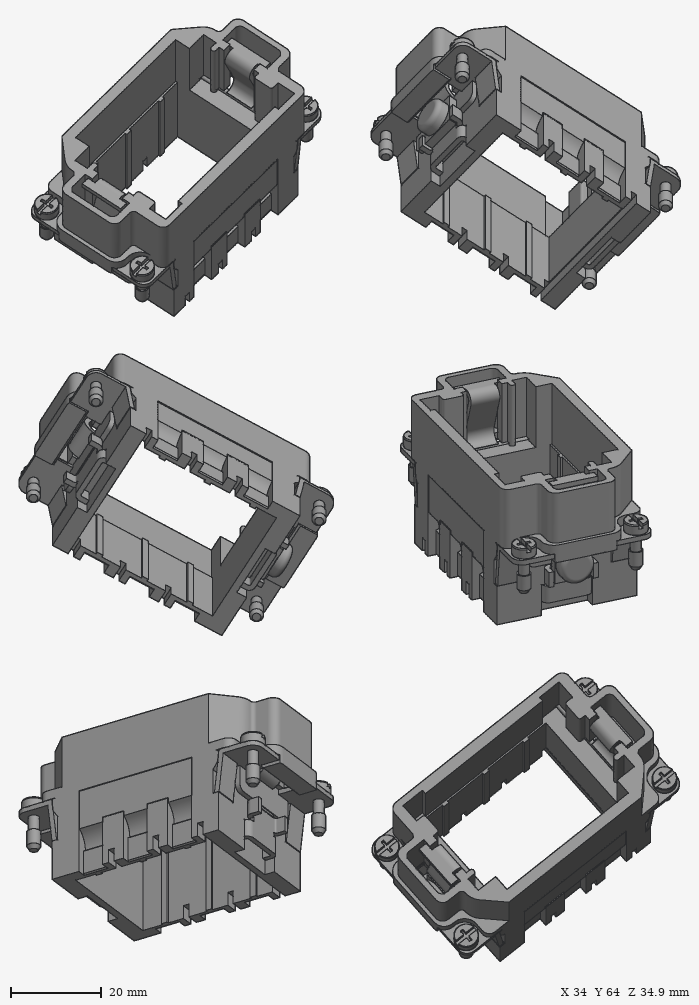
import cadquery as cq
import math

TOTAL_HEIGHT = 34.9
SHEET = 1.2
FLANGE_TOP = 20.2
FLANGE_BOTTOM = FLANGE_TOP - SHEET
RIM_TOP = 22.5
END_FACE_Y = 21.7
BEND_RADIUS = 0.6

HALF_WIDTH = 17.0
SHOULDER_Y = 25.1
SHOULDER_RADIUS = 2.0

CROWN_LOBE_HALF_WIDTH = 8.1
CROWN_LOBE_Y = 31.1
CROWN_LOBE_RADIUS = 2.0
CROWN_NECK_RADIUS = 1.0
KEY_CHAMFER = 6.0
KEY_RADIUS = 4.5

RIM_LOBE_HALF_WIDTH = 9.5
RIM_LOBE_Y = 32.0
RIM_LOBE_RADIUS = 3.0
RIM_NECK_RADIUS = 3.4

FLOOR = 19.8
WINDOW_HALF_X = 13.9
WINDOW_HALF_Y = 17.5
WALL_LEFT = -14.4
WALL_RIGHT = 14.3
CORNER_BLOCK_X = -10.5
RIGHT_RELIEF_X = 15.35
RIGHT_RELIEF_Y = 16.9
CAVITY_Y = 22.5
INNER_END_Y = 21.9
KEY_RIB_Y = 20.25
NARROW_RIB = (-7.0, -5.65)
WIDE_RIB = (5.65, 10.7)
RIB_RADIUS = 0.6
WINDOW_RIB_WIDTH = 1.5
WINDOW_RIB_HEIGHT = 0.5
CHAMBER_PITCH = 11.6

SPRING_SLOT_HALF_WIDTH = 4.25
SPRING_POCKET_HALF_WIDTH = 6.3
SPRING_POCKET_Y = (24.1, 29.7)
SPRING_POCKET_RADIUS = 1.4
KEEL_HALF_WIDTH = 7.5
KEEL_BOTTOM = 18.2
KEEL_Y = 26.95
KEEL_CHAMFER = 0.5

LEG_RECESS_X = 10.8
LEG_RECESS_Y = 20.3
LEG_RECESS_Z = (9.6, 15.5, 17.1)
TERMINAL_SLOT_HALF_WIDTH = 6.2
TERMINAL_SLOT_DEPTH = 2.5
TERMINAL_SLOT_TOP = 7.6

PANEL_HALF_LENGTH = 14.7
PANEL_DEPTH = 0.25
COVE_TOP = 10.8
COVE_BOTTOM = 6.4
LEDGE_DROP = 0.4
COVE_DEPTH = 2.7
FOOT_DEPTH = 1.9
FOOT_CHAMFER = 0.3
POST_WIDTH = 5.4
POST_TOP = 11.85
SLOT_WIDTH = 1.4
SLOT_HEIGHT = 3.2
SLOT_FIRST_Y = 6.2

BRACKET_HALF_WIDTH = 16.85
FLANGE_Y = 31.5
FLANGE_RADIUS = 2.5
SPRING_HOLE_HALF_WIDTH = 6.1
LEG_FACE_Y = END_FACE_Y + SHEET
LEG_X = 11.0
LEG_BOTTOM = 9.7
LEG_LEAN = 1.1
PLATE_HALF_WIDTH = 10.0
PLATE_BOTTOM = 13.1
PLATE_RADIUS = 1.7

NECK_HALF_WIDTH = 4.2
NECK_THICKNESS = 0.4
NECK_RECESS = 0.2
CLAW_HALF_WIDTH = 6.0
CLAW_BEND_RADIUS = 1.6
CLAW_TOP = 12.3
FRONT_CLAW_BOTTOM = 8.6
FRONT_CLAW_Y = 25.3
BACK_CLAW_BOTTOM = 3.4
BACK_CLAW_Y = 19.5

SPRING_HALF_WIDTH = 3.5
SPRING_BAR_HALF_WIDTH = 5.5
SPRING_FOOT_INSET = 0.25
SPRING_TIP_Y = 26.15
SPRING_TOP = 34.2
SPRING_FOOT_CORNER_Y = 26.27
SPRING_HEAD_CORNER_Y = 21.22
SPRING_FOOT_RADIUS = 3.0
SPRING_HEAD_RADIUS = 1.6

MOUNT_X = 13.6
MOUNT_Y = 28.6
MOUNT_HEAD_RADIUS = 2.75
MOUNT_HEAD_TOP = 22.85
MOUNT_HEAD_CHAMFER = 0.15
MOUNT_HEAD_BEVEL_HEIGHT = 0.35
MOUNT_SHANK_RADIUS = 1.25
MOUNT_THREAD_RADIUS = 1.57
MOUNT_THREAD_Z = (11.8, 15.4)
MOUNT_TIP_Z = 10.8
MOUNT_TIP_RADIUS = 0.95
DRIVE_DEPTH = 1.05
DRIVE_SLOT_WIDTH = 1.0
DRIVE_CROSS = (3.1, 0.65)

EARTH_Z = 13.4
EARTH_SHANK_RADIUS = 2.0
EARTH_HEAD_RADIUS = 4.1
EARTH_HEAD_END_Y = 27.9
EARTH_HEAD_FILLET = 1.2
CLAMP_HALF_WIDTH = 4.3
CLAMP_HALF_HEIGHT = 4.4
CLAMP_THICKNESS = 2.0


def box(x, y, z):
    """Box between the limits given as (low, high) pairs."""
    size = (x[1] - x[0], y[1] - y[0], z[1] - z[0])
    return cq.Workplane("XY").box(*size, centered=False).translate((x[0], y[0], z[0]))


def corner(before, point, after, radius):
    """Start, middle and end of the arc that rounds one corner."""
    u = [before[i] - point[i] for i in (0, 1)]
    v = [after[i] - point[i] for i in (0, 1)]
    u = [c / math.hypot(*u) for c in u]
    v = [c / math.hypot(*v) for c in v]
    half = math.acos(u[0] * v[0] + u[1] * v[1]) / 2
    tangent = radius / math.tan(half)
    inset = radius / math.sin(half) - radius
    bisector = [(u[i] + v[i]) / (2 * math.cos(half)) for i in (0, 1)]
    return [tuple(point[i] + d[i] * s for i in (0, 1))
            for d, s in ((u, tangent), (bisector, inset), (v, tangent))]


def rounded_outline(plane, points):
    """Closed outline through (a, b) or (a, b, corner radius) points."""
    start = tuple((points[-1][i] + points[0][i]) / 2 for i in (0, 1))
    outline = cq.Workplane(plane).moveTo(*start)
    for i, point in enumerate(points):
        if len(point) == 2:
            outline = outline.lineTo(*point)
            continue
        after = points[(i + 1) % len(points)]
        begin, middle, end = corner(points[i - 1], point, after, point[2])
        outline = outline.lineTo(*begin).threePointArc(middle, end)
    return outline.close()


def both_ends(end_points):
    """Outline points of the +Y end, completed by their mirror image at the -Y end."""
    return end_points + [(p[0], -p[1], *p[2:]) for p in reversed(end_points)]


def at_end(shape, end):
    """Place a feature of the +Y end (end = 1) or turn it round to the -Y end (end = -1)."""
    return shape if end > 0 else shape.rotate((0, 0, 0), (0, 0, 1), 180)


def crown():
    """Upper part with the keyed outline."""
    end = [
        (-HALF_WIDTH, SHOULDER_Y - KEY_CHAMFER),
        (-HALF_WIDTH + KEY_CHAMFER, SHOULDER_Y, KEY_RADIUS),
        (-CROWN_LOBE_HALF_WIDTH, SHOULDER_Y, CROWN_NECK_RADIUS),
        (-CROWN_LOBE_HALF_WIDTH, CROWN_LOBE_Y, CROWN_LOBE_RADIUS),
        (CROWN_LOBE_HALF_WIDTH, CROWN_LOBE_Y, CROWN_LOBE_RADIUS),
        (CROWN_LOBE_HALF_WIDTH, SHOULDER_Y, CROWN_NECK_RADIUS),
        (HALF_WIDTH, SHOULDER_Y, SHOULDER_RADIUS),
    ]
    outline = rounded_outline("XY", both_ends(end))
    return outline.extrude(TOTAL_HEIGHT - FLANGE_TOP).translate((0, 0, FLANGE_TOP))


def rim_outline():
    end = [
        (-HALF_WIDTH, SHOULDER_Y, SHOULDER_RADIUS),
        (-RIM_LOBE_HALF_WIDTH, SHOULDER_Y, RIM_NECK_RADIUS),
        (-RIM_LOBE_HALF_WIDTH, RIM_LOBE_Y, RIM_LOBE_RADIUS),
        (RIM_LOBE_HALF_WIDTH, RIM_LOBE_Y, RIM_LOBE_RADIUS),
        (RIM_LOBE_HALF_WIDTH, SHOULDER_Y, RIM_NECK_RADIUS),
        (HALF_WIDTH, SHOULDER_Y, SHOULDER_RADIUS),
    ]
    return rounded_outline("XY", both_ends(end))


def keel(end):
    """Block below a rim lobe, with the rim's outer outline."""
    block = box((-KEEL_HALF_WIDTH, KEEL_HALF_WIDTH), (KEEL_Y, RIM_LOBE_Y), (KEEL_BOTTOM, FLANGE_TOP))
    block = block.faces("<Y").edges("<Z").chamfer(KEEL_CHAMFER)
    outline = rim_outline().extrude(FLANGE_TOP - KEEL_BOTTOM).translate((0, 0, KEEL_BOTTOM))
    return at_end(block.intersect(outline), end)


def cavity():
    """Upper cavity down to the floor, with the polarising ribs at both ends."""
    end = [
        (WALL_LEFT, WINDOW_HALF_Y),
        (CORNER_BLOCK_X, WINDOW_HALF_Y),
        (CORNER_BLOCK_X, CAVITY_Y),
        (NARROW_RIB[0], CAVITY_Y),
        (NARROW_RIB[0], KEY_RIB_Y, RIB_RADIUS),
        (NARROW_RIB[1], KEY_RIB_Y, RIB_RADIUS),
        (NARROW_RIB[1], INNER_END_Y),
        (WIDE_RIB[0], INNER_END_Y),
        (WIDE_RIB[0], KEY_RIB_Y, RIB_RADIUS),
        (WIDE_RIB[1], KEY_RIB_Y, RIB_RADIUS),
        (WIDE_RIB[1], CAVITY_Y),
        (RIGHT_RELIEF_X, CAVITY_Y),
        (RIGHT_RELIEF_X, RIGHT_RELIEF_Y),
        (WALL_RIGHT, RIGHT_RELIEF_Y),
    ]
    outline = rounded_outline("XY", both_ends(end))
    return outline.extrude(TOTAL_HEIGHT - FLOOR).translate((0, 0, FLOOR))


def window():
    """Opening through the floor, less the guide ribs on its long walls."""
    opening = box((-WINDOW_HALF_X, WINDOW_HALF_X), (-WINDOW_HALF_Y, WINDOW_HALF_Y), (0, FLOOR))
    for row in (-1, 0, 1):
        y = row * CHAMBER_PITCH
        for side in (-1, 1):
            center = side * (WINDOW_HALF_X - WINDOW_RIB_HEIGHT / 2)
            rib = cq.Workplane("XY").center(center, y).rect(WINDOW_RIB_HEIGHT, WINDOW_RIB_WIDTH)
            opening = opening.cut(rib.extrude(FLOOR))
    return opening


def spring_pocket(end):
    """Pocket in the lobe and the slot that joins it to the cavity."""
    low, high = SPRING_POCKET_Y
    half = SPRING_POCKET_HALF_WIDTH
    pocket = box((-half, half), (low, high), (FLANGE_TOP, TOTAL_HEIGHT))
    pocket = pocket.faces(">Y").edges("|Z").fillet(SPRING_POCKET_RADIUS)
    half = SPRING_SLOT_HALF_WIDTH
    slot = box((-half, half), (END_FACE_Y, low), (FLANGE_TOP, TOTAL_HEIGHT))
    return at_end(pocket.union(slot), end)


def end_recesses(end):
    """Recesses for the two leaning bracket legs and the slot behind the terminal claws."""
    bottom, knee, top = LEG_RECESS_Z
    leg_slope = LEG_LEAN / (FLANGE_BOTTOM - LEG_BOTTOM)
    profile = [
        (END_FACE_Y, bottom),
        (LEG_RECESS_Y, bottom),
        (LEG_RECESS_Y, knee),
        (END_FACE_Y - leg_slope * (FLANGE_BOTTOM - top), top),
        (END_FACE_Y, FLANGE_BOTTOM),
    ]
    width = HALF_WIDTH - LEG_RECESS_X
    leg = cq.Workplane("YZ").polyline(profile).close().extrude(width).translate((LEG_RECESS_X, 0, 0))
    half = TERMINAL_SLOT_HALF_WIDTH
    slot = box((-half, half), (END_FACE_Y - TERMINAL_SLOT_DEPTH, END_FACE_Y), (0, TERMINAL_SLOT_TOP))
    return at_end(leg.union(leg.mirror("YZ")).union(slot), end)


def side_relief(side):
    """Shallow panel, cove and foot step on a long side, interrupted by two posts."""
    face = HALF_WIDTH
    panel = face - PANEL_DEPTH
    foot = face - FOOT_DEPTH
    cove = face - COVE_DEPTH
    run = panel - cove
    rise = COVE_TOP - COVE_BOTTOM
    cove_radius = (run ** 2 + rise ** 2) / (2 * run)
    sweep = math.asin(rise / cove_radius) / 2
    cove_middle = (cove + cove_radius * (1 - math.cos(sweep)), COVE_BOTTOM + cove_radius * math.sin(sweep))
    profile = (cq.Workplane("XZ").moveTo(face, FLANGE_TOP).lineTo(panel, FLANGE_TOP)
               .lineTo(panel, COVE_TOP).threePointArc(cove_middle, (cove, COVE_BOTTOM))
               .lineTo(foot, COVE_BOTTOM - LEDGE_DROP).lineTo(foot, FOOT_CHAMFER)
               .lineTo(foot - FOOT_CHAMFER, 0).lineTo(face, 0).close())
    relief = profile.extrude(PANEL_HALF_LENGTH, both=True)
    for y in (-CHAMBER_PITCH / 2, CHAMBER_PITCH / 2):
        post = box((cove, face), (y - POST_WIDTH / 2, y + POST_WIDTH / 2), (0, POST_TOP))
        relief = relief.cut(post)
    return relief if side > 0 else relief.mirror("YZ")


def foot_slots():
    """Three slots across both long walls, open at the bottom."""
    centers = [(0, SLOT_FIRST_Y - row * CHAMBER_PITCH) for row in range(3)]
    return cq.Workplane("XY").pushPoints(centers).rect(2 * HALF_WIDTH, SLOT_WIDTH).extrude(SLOT_HEIGHT)


def make_housing():
    block = box((-HALF_WIDTH, HALF_WIDTH), (-END_FACE_Y, END_FACE_Y), (0, FLANGE_TOP))
    block = block.faces(">Z").edges("|X").fillet(BEND_RADIUS)
    rim = rim_outline().extrude(RIM_TOP - FLANGE_TOP).translate((0, 0, FLANGE_TOP))
    body = block.union(rim).union(crown())
    for end in (-1, 1):
        body = body.union(keel(end))
    body = body.cut(cavity()).cut(window()).cut(foot_slots())
    for end in (-1, 1):
        body = body.cut(spring_pocket(end)).cut(end_recesses(end))
    for side in (-1, 1):
        body = body.cut(side_relief(side))
    return body


def bent_plate():
    """Flange with its bend, two leaning legs and the plate between them."""
    profile = [
        (FLANGE_Y, FLANGE_BOTTOM),
        (FLANGE_Y, FLANGE_TOP),
        (END_FACE_Y, FLANGE_TOP, BEND_RADIUS),
        (END_FACE_Y, FLANGE_BOTTOM),
        (END_FACE_Y - LEG_LEAN, LEG_BOTTOM),
        (LEG_FACE_Y - LEG_LEAN, LEG_BOTTOM),
        (LEG_FACE_Y, FLANGE_BOTTOM),
    ]
    sheet = rounded_outline("YZ", profile).extrude(BRACKET_HALF_WIDTH, both=True)
    sheet = sheet.edges("|Z and >Y").fillet(FLANGE_RADIUS)
    between_legs = box((-LEG_X, LEG_X), (0, LEG_FACE_Y), (0, FLANGE_BOTTOM))
    half = KEEL_HALF_WIDTH
    keel_notch = box((-half, half), (KEEL_Y, FLANGE_Y), (FLANGE_BOTTOM, FLANGE_TOP))
    half = SPRING_HOLE_HALF_WIDTH
    spring_hole = box((-half, half), (LEG_FACE_Y, KEEL_Y), (FLANGE_BOTTOM, FLANGE_TOP))
    half = PLATE_HALF_WIDTH
    plate = box((-half, half), (END_FACE_Y, LEG_FACE_Y), (PLATE_BOTTOM, FLANGE_BOTTOM))
    plate = plate.faces("<Z").edges("|Y").fillet(PLATE_RADIUS)
    return sheet.cut(between_legs).cut(keel_notch).cut(spring_hole).union(plate)


def claw(base_y, inner_y, tip_y, bottom, top):
    """Channel bent from the sheet: its base faces base_y and its arms reach to tip_y."""
    outer = CLAW_HALF_WIDTH
    inner = outer - SHEET
    inner_radius = CLAW_BEND_RADIUS - SHEET
    profile = [
        (-outer, tip_y),
        (-outer, base_y, CLAW_BEND_RADIUS),
        (outer, base_y, CLAW_BEND_RADIUS),
        (outer, tip_y),
        (inner, tip_y),
        (inner, inner_y, inner_radius),
        (-inner, inner_y, inner_radius),
        (-inner, tip_y),
    ]
    return rounded_outline("XY", profile).extrude(top - bottom).translate((0, 0, bottom))


def terminal():
    """Neck below the plate, front claws for the wire and back claws in the housing slot."""
    half = NECK_HALF_WIDTH
    neck_face = LEG_FACE_Y - NECK_RECESS
    neck = box((-half, half), (neck_face - NECK_THICKNESS, neck_face), (CLAW_TOP, PLATE_BOTTOM))
    web = box((-half, half), (END_FACE_Y, LEG_FACE_Y), (TERMINAL_SLOT_TOP, FRONT_CLAW_BOTTOM))
    front = claw(END_FACE_Y, LEG_FACE_Y, FRONT_CLAW_Y, FRONT_CLAW_BOTTOM, CLAW_TOP)
    back = claw(LEG_FACE_Y, END_FACE_Y, BACK_CLAW_Y, BACK_CLAW_BOTTOM, TERMINAL_SLOT_TOP)
    return neck.union(web).union(front).union(back)


def spring():
    """Contact tongue that rises from the flange edge, leans inward and rolls over to a crossbar."""
    start = (END_FACE_Y + SPRING_FOOT_INSET, FLANGE_TOP - SHEET / 2)
    foot = (SPRING_FOOT_CORNER_Y, start[1])
    head = (SPRING_HEAD_CORNER_Y, SPRING_TOP - SHEET / 2)
    tip = (SPRING_TIP_Y, head[1])
    foot_arc = corner(start, foot, head, SPRING_FOOT_RADIUS)
    head_arc = corner(foot, head, tip, SPRING_HEAD_RADIUS)
    path = (cq.Workplane("YZ").moveTo(*start).lineTo(*foot_arc[0]).threePointArc(*foot_arc[1:])
            .lineTo(*head_arc[0]).threePointArc(*head_arc[1:]).lineTo(*tip))
    section = cq.Workplane("XZ", origin=(0, *start)).rect(2 * SPRING_HALF_WIDTH, SHEET)
    half = SPRING_BAR_HALF_WIDTH
    bar = box((-half, half), (SPRING_POCKET_Y[0], SPRING_TIP_Y), (SPRING_TOP - SHEET, SPRING_TOP))
    return section.sweep(path).union(bar)


def along_y(radius, start, end):
    """Cylinder on the earth screw axis between two Y positions."""
    axis = cq.Workplane("XZ", origin=(0, start, EARTH_Z))
    return axis.circle(radius).extrude(start - end)


def make_bracket(end):
    bracket = bent_plate().union(terminal()).union(spring())
    for x in (-MOUNT_X, MOUNT_X):
        hole = cq.Workplane("XY").center(x, MOUNT_Y).circle(MOUNT_SHANK_RADIUS).extrude(FLANGE_TOP)
        bracket = bracket.cut(hole)
    if end > 0:
        bracket = bracket.cut(along_y(EARTH_SHANK_RADIUS, END_FACE_Y, LEG_FACE_Y))
    return at_end(bracket, end)


def make_mounting_screw(x, y):
    thread_bottom, thread_top = MOUNT_THREAD_Z
    profile = [
        (0, MOUNT_TIP_Z),
        (MOUNT_TIP_RADIUS, MOUNT_TIP_Z),
        (MOUNT_THREAD_RADIUS, thread_bottom),
        (MOUNT_THREAD_RADIUS, thread_top),
        (MOUNT_SHANK_RADIUS, thread_top),
        (MOUNT_SHANK_RADIUS, FLANGE_TOP),
        (MOUNT_HEAD_RADIUS - MOUNT_HEAD_CHAMFER, FLANGE_TOP),
        (MOUNT_HEAD_RADIUS, FLANGE_TOP + MOUNT_HEAD_CHAMFER),
        (MOUNT_HEAD_RADIUS, MOUNT_HEAD_TOP - MOUNT_HEAD_BEVEL_HEIGHT),
        (MOUNT_HEAD_RADIUS - MOUNT_HEAD_CHAMFER, MOUNT_HEAD_TOP),
        (0, MOUNT_HEAD_TOP),
    ]
    screw = cq.Workplane("XZ").polyline(profile).close().revolve(360, (0, 0, 0), (0, 1, 0))
    drive = cq.Workplane("XY", origin=(0, 0, MOUNT_HEAD_TOP))
    slot = drive.rect(DRIVE_SLOT_WIDTH, 2 * MOUNT_HEAD_RADIUS).extrude(-DRIVE_DEPTH)
    cross = drive.rect(*DRIVE_CROSS).extrude(-DRIVE_DEPTH)
    return screw.cut(slot).cut(cross).translate((x, y, 0))


def make_clamp():
    """Wire clamp plate between the front claws of the +Y bracket."""
    half = CLAMP_HALF_WIDTH
    height = (EARTH_Z - CLAMP_HALF_HEIGHT, EARTH_Z + CLAMP_HALF_HEIGHT)
    plate = box((-half, half), (LEG_FACE_Y, LEG_FACE_Y + CLAMP_THICKNESS), height)
    return plate.cut(along_y(EARTH_SHANK_RADIUS, LEG_FACE_Y, LEG_FACE_Y + CLAMP_THICKNESS))


def make_earth_screw():
    head_start = LEG_FACE_Y + CLAMP_THICKNESS
    head = along_y(EARTH_HEAD_RADIUS, head_start, EARTH_HEAD_END_Y)
    head = head.faces(">Y").edges().fillet(EARTH_HEAD_FILLET)
    return head.union(along_y(EARTH_SHANK_RADIUS, END_FACE_Y, head_start))


housing = make_housing()
brackets = [make_bracket(end) for end in (-1, 1)]
mounting_screws = [make_mounting_screw(x, y) for x in (-MOUNT_X, MOUNT_X) for y in (-MOUNT_Y, MOUNT_Y)]
clamp = make_clamp()
earth_screw = make_earth_screw()

bodies = [housing, *brackets, *mounting_screws, clamp, earth_screw]
result = cq.Compound.makeCompound([body.solids().val() for body in bodies])